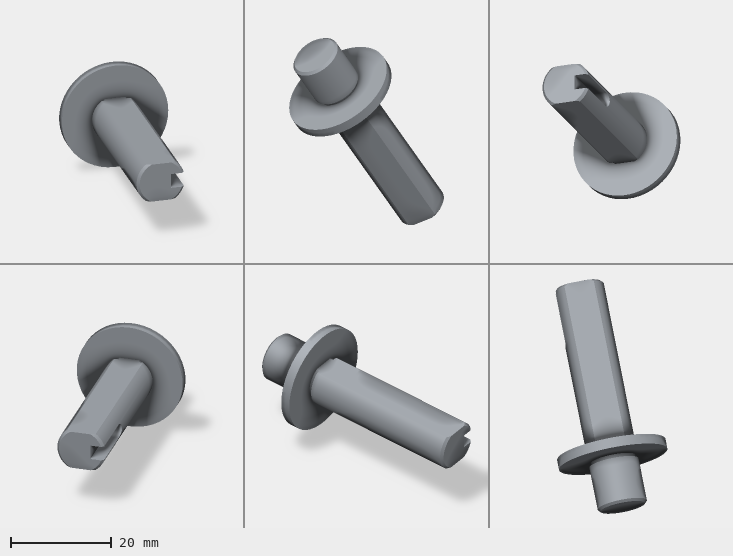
import cadquery as cq

total_length = 46.0
pin_diameter = 10.0
neck_diameter = 9.0
flange_diameter = 22.0
flange_start = 10.0
flange_thickness = 2.02
neck_length = 0.8
end_chamfer = 0.5
across_flats = 8.0
slot_width = 3.0
slot_length = 12.0
slot_depth = slot_width

pin_radius = pin_diameter / 2
flange_end = flange_start + flange_thickness
shank_length = total_length - flange_end


def cylinder(diameter, start, end):
    """Cylinder on the X axis between two stations."""
    return cq.Workplane("YZ", origin=(start, 0, 0)).circle(diameter / 2).extrude(end - start)


def make_head():
    head_end = flange_start - neck_length
    head = cylinder(pin_diameter, 0, head_end).faces("<X").chamfer(end_chamfer)
    return head.union(cylinder(neck_diameter, head_end, flange_start))


def cut_end_slot(shank):
    """Cut a round-ended slot into the +Y side, open at the far end."""
    slot_radius = slot_width / 2
    crown = total_length - slot_length
    slot = (
        cq.Workplane("XZ", origin=(0, pin_radius, 0))
        .moveTo(total_length, slot_radius)
        .lineTo(crown + slot_radius, slot_radius)
        .threePointArc((crown, 0), (crown + slot_radius, -slot_radius))
        .lineTo(total_length, -slot_radius)
        .close()
        .extrude(slot_depth)
    )
    return shank.cut(slot)


def make_shank():
    neck_end = flange_end + neck_length
    shank = cylinder(pin_diameter, neck_end, total_length).faces(">X").chamfer(end_chamfer)
    shank = shank.union(cylinder(neck_diameter, flange_end, neck_end))
    flats_envelope = cq.Workplane("XY", origin=(flange_end, 0, 0)).box(
        shank_length, pin_diameter, across_flats, centered=(False, True, True)
    )
    return cut_end_slot(shank.intersect(flats_envelope))


flange = cylinder(flange_diameter, flange_start, flange_end)
result = make_head().union(flange).union(make_shank())